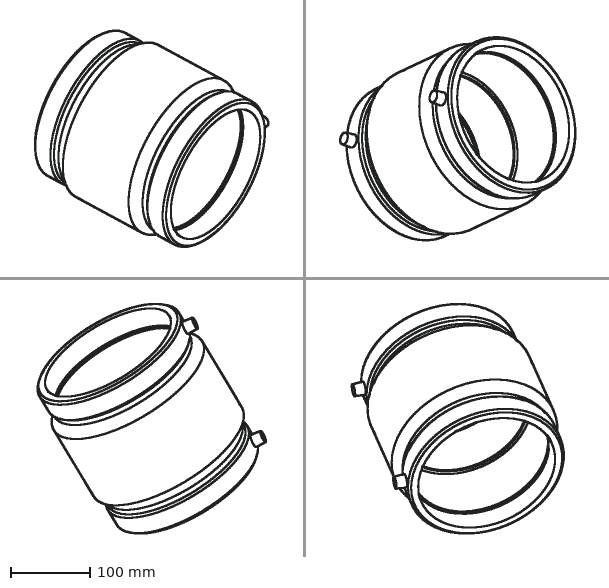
import cadquery as cq

length = 212.0
body_diameter = 218.0
collar_diameter = 205.0
groove_diameter = 198.7
socket_diameter = 180.0
stop_diameter = 171.0

collar_width = 30.8
collar_chamfer = (collar_diameter - groove_diameter) / 2
groove_width = 7.2
cone_length = 14.8
stop_width = 2.5

seal_inset = 28.1
seal_width = 3.5
seal_diameter = 181.8

total_depth = 225.0
pin_tip_y = total_depth - body_diameter / 2
pin_tip_diameter = 15.5
pin_base_diameter = 17.5
pin_inset = 15.3
pin_base_y = 100.1


def mirrored_profile(half):
    """Complete a left-half (x, radius) chain with its mirror image about x = 0."""
    return half + [(-x, radius) for x, radius in reversed(half)]


def make_body():
    end_x = -length / 2
    groove_start = end_x + collar_width
    cone_start = groove_start + groove_width
    seal_start = end_x + seal_inset
    seal_end = seal_start + seal_width
    outer_half = [
        (end_x, groove_diameter / 2),
        (end_x + collar_chamfer, collar_diameter / 2),
        (groove_start - collar_chamfer, collar_diameter / 2),
        (groove_start, groove_diameter / 2),
        (cone_start, groove_diameter / 2),
        (cone_start + cone_length, body_diameter / 2),
    ]
    inner_half = [
        (end_x, socket_diameter / 2),
        (seal_start, socket_diameter / 2),
        (seal_start, seal_diameter / 2),
        (seal_end, seal_diameter / 2),
        (seal_end, socket_diameter / 2),
        (-stop_width / 2, socket_diameter / 2),
        (-stop_width / 2, stop_diameter / 2),
    ]
    outline = mirrored_profile(outer_half) + mirrored_profile(inner_half)[::-1]
    return cq.Workplane("XY").polyline(outline).close().revolve(360, (0, 0), (1, 0))


def make_pin(axis_x):
    """Slightly tapered round pin."""
    half_profile = [
        (axis_x, pin_base_y),
        (axis_x + pin_base_diameter / 2, pin_base_y),
        (axis_x + pin_tip_diameter / 2, pin_tip_y),
        (axis_x, pin_tip_y),
    ]
    pin = cq.Workplane("XY").polyline(half_profile).close()
    return pin.revolve(360, (axis_x, 0), (axis_x, 1))


result = make_body()
for side in (-1, 1):
    result = result.union(make_pin(side * (length / 2 - pin_inset)))